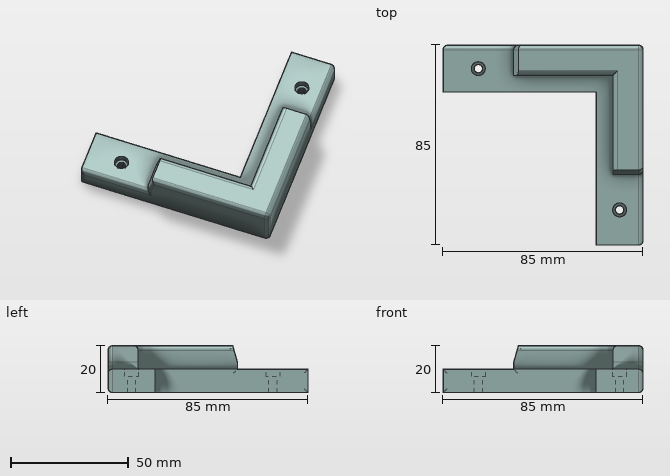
import cadquery as cq

ARM_LENGTH = 85.0
ARM_WIDTH = 20.0
BASE_HEIGHT = 10.0
TOTAL_HEIGHT = 20.0

RIM_WIDTH = 12.8
RIM_LENGTH = 55.0
RIM_UPRIGHT_TOP = 13.0
RIM_END_SETBACK = 2.0

EDGE_RADIUS = 2.0

HOLE_DIAMETER = 3.5
COUNTERBORE_DIAMETER = 5.9
COUNTERBORE_DEPTH = 3.1
HOLE_TO_END = 15.0
HOLE_TO_OUTER_SIDE = 10.0

OUTER_SIDE = ARM_LENGTH

TOLERANCE = 0.01


def l_block(length, width, height):
    """L-shaped block whose outer corner stands at (OUTER_SIDE, OUTER_SIDE)."""
    start = OUTER_SIDE - length
    inner = OUTER_SIDE - width
    outline = [
        (start, OUTER_SIDE),
        (OUTER_SIDE, OUTER_SIDE),
        (OUTER_SIDE, start),
        (inner, start),
        (inner, inner),
        (start, inner),
    ]
    return cq.Workplane("XY").polyline(outline).close().extrude(height)


def round_outer_edges(body):
    """Round every edge of the two outer sides except the creases where the rim ends begin to slant."""

    def on_side(low, high):
        return max(abs(low - OUTER_SIDE), abs(high - OUTER_SIDE)) < TOLERANCE

    def lies_on_outer_side(edge):
        box = edge.BoundingBox()
        return on_side(box.xmin, box.xmax) or on_side(box.ymin, box.ymax)

    def is_rim_end_crease(edge):
        return abs(edge.Center().z - RIM_UPRIGHT_TOP) < TOLERANCE

    edges = [
        edge
        for edge in body.edges().vals()
        if lies_on_outer_side(edge) and not is_rim_end_crease(edge)
    ]
    return body.newObject(edges).fillet(EDGE_RADIUS)


def rim_end_cutter(plane, outward):
    """Wedge that slants the end of one rim arm, reaching across the rim from its outer side.

    outward is 1 if the normal of the plane points toward the outer side, and -1 if away from it.
    """
    start = OUTER_SIDE - RIM_LENGTH
    wedge = [
        (start, RIM_UPRIGHT_TOP),
        (start + RIM_END_SETBACK, TOTAL_HEIGHT),
        (start, TOTAL_HEIGHT),
    ]
    profile = cq.Workplane(plane).workplane(offset=outward * OUTER_SIDE).polyline(wedge).close()
    return profile.extrude(-outward * RIM_WIDTH)


def make_rim():
    """Rim over the full height of the part, with slanted ends and rounded edges."""
    rim = l_block(RIM_LENGTH, RIM_WIDTH, TOTAL_HEIGHT)
    rim = rim.cut(rim_end_cutter("XZ", -1)).cut(rim_end_cutter("YZ", 1))
    rim = round_outer_edges(rim)

    inner = OUTER_SIDE - RIM_WIDTH

    def is_inner_top_edge(edge):
        center = edge.Center()
        on_inner_side = min(abs(center.x - inner), abs(center.y - inner)) < TOLERANCE
        return on_inner_side and abs(center.z - TOTAL_HEIGHT) < TOLERANCE

    inner_edges = [edge for edge in rim.edges().vals() if is_inner_top_edge(edge)]
    return rim.newObject(inner_edges).fillet(EDGE_RADIUS)


def cut_screw_holes(body):
    """Cut one counterbored through hole in each arm, from the top of the base."""
    across = OUTER_SIDE - HOLE_TO_OUTER_SIDE
    centers = [(HOLE_TO_END, across), (across, HOLE_TO_END)]
    top = cq.Workplane("XY").workplane(offset=BASE_HEIGHT).pushPoints(centers)
    bores = top.circle(HOLE_DIAMETER / 2).extrude(-BASE_HEIGHT)
    counterbores = top.circle(COUNTERBORE_DIAMETER / 2).extrude(-COUNTERBORE_DEPTH)
    return body.cut(bores).cut(counterbores)


base = round_outer_edges(l_block(ARM_LENGTH, ARM_WIDTH, BASE_HEIGHT))
result = cut_screw_holes(base.union(make_rim()))